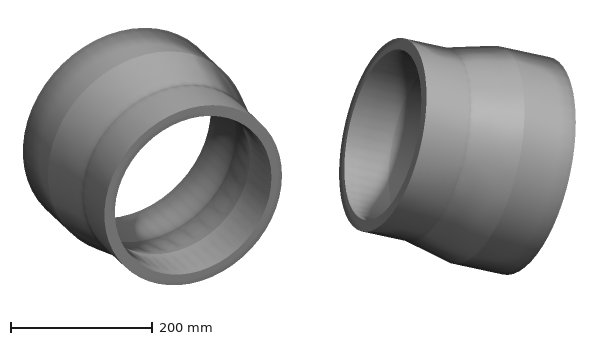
import cadquery as cq

large_diameter = 315.0
large_wall = 18.7
small_diameter = 280.0
small_wall = 16.6

total_length = 227.0
large_length = 81.0
small_length = 70.0

cone_end = total_length - small_length


def reducer_body(large_radius, small_radius):
    """Solid of revolution about X with a straight taper between two cylinders."""
    half_profile = (
        cq.Workplane("XY")
        .moveTo(0, 0)
        .lineTo(0, large_radius)
        .lineTo(large_length, large_radius)
        .lineTo(cone_end, small_radius)
        .lineTo(total_length, small_radius)
        .lineTo(total_length, 0)
        .close()
    )
    return half_profile.revolve(360, (0, 0, 0), (1, 0, 0))


outside = reducer_body(large_diameter / 2, small_diameter / 2)
bore = reducer_body(large_diameter / 2 - large_wall, small_diameter / 2 - small_wall)

result = outside.cut(bore)